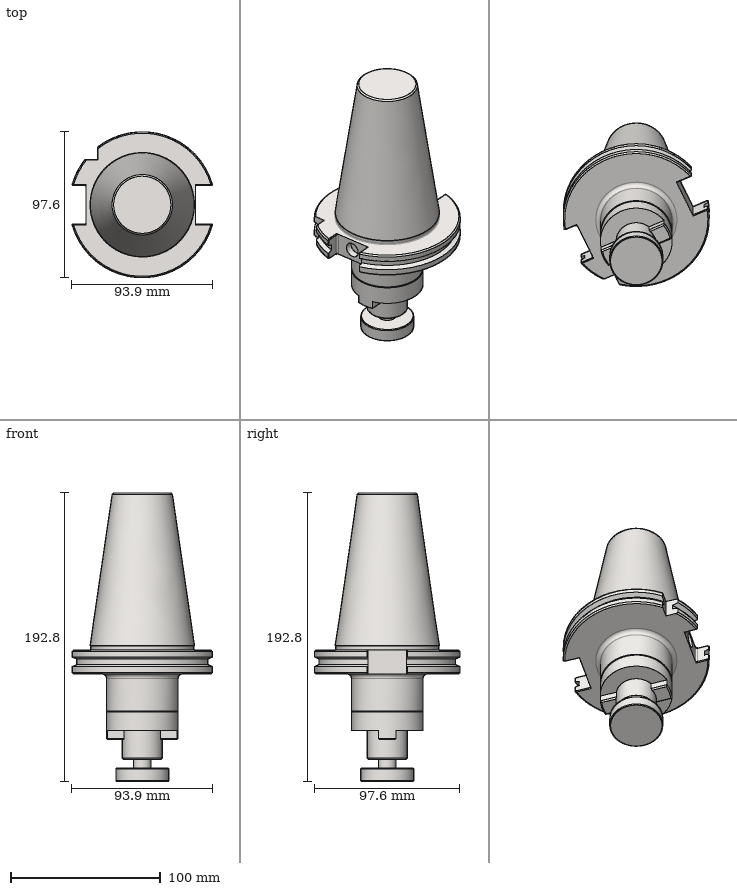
import cadquery as cq
import math


OVERALL_LENGTH = 192.8

TAPER_RATE = 7 / 24
GAUGE_RADIUS = 34.9
TAPER_LENGTH = 101.8
TAPER_TIP_RADIUS = GAUGE_RADIUS - TAPER_LENGTH * TAPER_RATE / 2
TAPER_TIP_CHAMFER = 1.0
NECK_RADIUS = 34.5
NECK_FILLET = 0.4
NECK_STEP = 0.5

FLANGE_RADIUS = 48.8
FLANGE_TOP = -3.3
FLANGE_THICKNESS = 15.8
FLANGE_BOTTOM = FLANGE_TOP - FLANGE_THICKNESS
FLANGE_CHAMFER = 1.0

GROOVE_FLOOR_RADIUS = 45.7
GROOVE_CENTRE = -11.0
GROOVE_FLOOR_WIDTH = 3.7
GROOVE_FLANK_ANGLE = 25
GROOVE_FLANK_HEIGHT = (FLANGE_RADIUS - GROOVE_FLOOR_RADIUS) * math.tan(math.radians(GROOVE_FLANK_ANGLE))

SLOT_WIDTH = 25.8
SLOT_FLOOR_LEFT = 37.5
SLOT_FLOOR_RIGHT = 35.7
SLOT_CHAMFER = 0.5
SLOT_CORNER_RADIUS = 1.2
CHIP_HOLE_DIAMETER = 10.0
CHIP_HOLE_DEPTH = 5.0
NOTCH_X = 29.9
NOTCH_Y = 30.0

SHANK_DIAMETER = 48.0
SHANK_RADIUS = SHANK_DIAMETER / 2
SHANK_FILLET = 3.0
SEAM_CHAMFER = 0.4
COLLAR_TOP = -44.1
COLLAR_BOTTOM = -56.9

TONGUE_WIDTH = 12.0
TONGUE_HEIGHT = 6.2
TONGUE_CHAMFER = 1.0

SPINDLE_RADIUS = 13.5
SPINDLE_BOTTOM = -76.3
SPINDLE_CHAMFER = 1.2

SCREW_NECK_RADIUS = 6.0
SCREW_HEAD_RADIUS = 17.7
SCREW_HEAD_TOP = -82.0
SCREW_HEAD_BOTTOM = TAPER_LENGTH - OVERALL_LENGTH
SCREW_HEAD_CHAMFER = 0.5

OVERLAP = 2.0


def cylinder(radius, top, bottom):
    return cq.Workplane("XY").workplane(offset=bottom).circle(radius).extrude(top - bottom)


def make_taper():
    """Taper with its relief neck, rounded into the top of the flange."""
    foot_radius = NECK_RADIUS + NECK_FILLET
    taper = (
        cq.Workplane("XZ")
        .moveTo(0, TAPER_LENGTH)
        .lineTo(TAPER_TIP_RADIUS, TAPER_LENGTH)
        .lineTo(GAUGE_RADIUS, 0)
        .lineTo(NECK_RADIUS, -NECK_STEP)
        .lineTo(NECK_RADIUS, FLANGE_TOP + NECK_FILLET)
        .radiusArc((foot_radius, FLANGE_TOP), -NECK_FILLET)
        .lineTo(foot_radius, FLANGE_TOP - OVERLAP)
        .lineTo(0, FLANGE_TOP - OVERLAP)
        .close()
        .revolve(360, (0, 0), (0, 1))
    )
    return taper.faces(">Z").edges().chamfer(TAPER_TIP_CHAMFER)


def cut_drive_slot(flange, side, floor_distance):
    """Cut the slot on the +X (side = 1) or -X (side = -1) and break the outline of its walls."""
    length = FLANGE_RADIUS + OVERLAP - floor_distance
    slot = (
        cq.Workplane("XY")
        .box(length, SLOT_WIDTH, FLANGE_THICKNESS + 2 * OVERLAP)
        .translate((side * (floor_distance + length / 2), 0, FLANGE_TOP - FLANGE_THICKNESS / 2))
    )
    flange = flange.cut(slot)
    wall_box = cq.selectors.BoxSelector(
        (side * (floor_distance + SLOT_CHAMFER), -SLOT_WIDTH / 2 - SLOT_CHAMFER / 2, FLANGE_BOTTOM - OVERLAP),
        (side * (FLANGE_RADIUS + OVERLAP), SLOT_WIDTH / 2 + SLOT_CHAMFER / 2, FLANGE_TOP + OVERLAP),
    )
    return flange.edges(wall_box).chamfer(SLOT_CHAMFER)


def round_left_slot_corners(flange):
    """Fill the two floor corners of the -X slot with a concave radius."""
    for wall in (1, -1):
        corner = (-SLOT_FLOOR_LEFT, wall * SLOT_WIDTH / 2)
        fillet = (
            cq.Workplane("XY")
            .workplane(offset=FLANGE_BOTTOM)
            .moveTo(*corner)
            .lineTo(corner[0] - SLOT_CORNER_RADIUS, corner[1])
            .radiusArc((corner[0], corner[1] - wall * SLOT_CORNER_RADIUS), wall * SLOT_CORNER_RADIUS)
            .close()
            .extrude(FLANGE_THICKNESS)
        )
        flange = flange.union(fillet)
    return flange


def make_groove_cutter():
    floor_half = GROOVE_FLOOR_WIDTH / 2
    mouth_half = floor_half + GROOVE_FLANK_HEIGHT
    profile = [
        (GROOVE_FLOOR_RADIUS, GROOVE_CENTRE + floor_half),
        (FLANGE_RADIUS, GROOVE_CENTRE + mouth_half),
        (FLANGE_RADIUS + OVERLAP, GROOVE_CENTRE + mouth_half),
        (FLANGE_RADIUS + OVERLAP, GROOVE_CENTRE - mouth_half),
        (FLANGE_RADIUS, GROOVE_CENTRE - mouth_half),
        (GROOVE_FLOOR_RADIUS, GROOVE_CENTRE - floor_half),
    ]
    return cq.Workplane("XZ").polyline(profile).close().revolve(360, (0, 0), (0, 1))


def make_notch_cutter():
    return (
        cq.Workplane("XY")
        .workplane(offset=FLANGE_BOTTOM - OVERLAP)
        .moveTo(-NOTCH_X, NOTCH_Y)
        .rect(-FLANGE_RADIUS, FLANGE_RADIUS, centered=False)
        .extrude(FLANGE_THICKNESS + 2 * OVERLAP)
    )


def make_chip_hole_cutter():
    return (
        cq.Workplane("YZ")
        .workplane(offset=-SLOT_FLOOR_LEFT - OVERLAP)
        .center(0, GROOVE_CENTRE)
        .circle(CHIP_HOLE_DIAMETER / 2)
        .extrude(CHIP_HOLE_DEPTH + OVERLAP)
    )


def make_flange():
    flange = cylinder(FLANGE_RADIUS, FLANGE_TOP, FLANGE_BOTTOM)
    flange = flange.faces("<Z or >Z").edges().chamfer(FLANGE_CHAMFER)
    flange = cut_drive_slot(flange, -1, SLOT_FLOOR_LEFT)
    flange = cut_drive_slot(flange, 1, SLOT_FLOOR_RIGHT)
    flange = round_left_slot_corners(flange)
    return flange.cut(make_groove_cutter()).cut(make_notch_cutter()).cut(make_chip_hole_cutter())


def make_shank():
    """Cylinder under the flange, blended into the flange and chamfered at the collar."""
    foot_radius = SHANK_RADIUS + SHANK_FILLET
    return (
        cq.Workplane("XZ")
        .moveTo(0, FLANGE_BOTTOM + OVERLAP)
        .lineTo(foot_radius, FLANGE_BOTTOM + OVERLAP)
        .lineTo(foot_radius, FLANGE_BOTTOM)
        .radiusArc((SHANK_RADIUS, FLANGE_BOTTOM - SHANK_FILLET), -SHANK_FILLET)
        .lineTo(SHANK_RADIUS, COLLAR_TOP + SEAM_CHAMFER)
        .lineTo(SHANK_RADIUS - SEAM_CHAMFER, COLLAR_TOP)
        .lineTo(0, COLLAR_TOP)
        .close()
        .revolve(360, (0, 0), (0, 1))
    )


def make_collar():
    """Drive collar with two tongues on the X axis standing out below it."""
    tongue_bottom = COLLAR_BOTTOM - TONGUE_HEIGHT
    collar = cylinder(SHANK_RADIUS, COLLAR_TOP, COLLAR_BOTTOM).faces(">Z").edges().chamfer(SEAM_CHAMFER)
    tongue_bar = (
        cq.Workplane("XY")
        .workplane(offset=tongue_bottom)
        .rect(2 * (SHANK_RADIUS + OVERLAP), TONGUE_WIDTH)
        .extrude(TONGUE_HEIGHT)
    )
    tongues = cylinder(SHANK_RADIUS, COLLAR_BOTTOM, tongue_bottom).intersect(tongue_bar)
    tongues = tongues.faces("<Z").edges().chamfer(TONGUE_CHAMFER)
    return collar.union(tongues)


def make_spindle():
    spindle = cylinder(SPINDLE_RADIUS, COLLAR_BOTTOM + OVERLAP, SPINDLE_BOTTOM)
    return spindle.faces("<Z").edges().chamfer(SPINDLE_CHAMFER)


def make_arbor():
    arbor = make_taper().union(make_flange()).union(make_shank())
    return arbor.union(make_collar()).union(make_spindle())


def make_clamping_screw():
    head = cylinder(SCREW_HEAD_RADIUS, SCREW_HEAD_TOP, SCREW_HEAD_BOTTOM)
    head = head.faces("<Z or >Z").edges().chamfer(SCREW_HEAD_CHAMFER)
    neck = cylinder(SCREW_NECK_RADIUS, SPINDLE_BOTTOM, SCREW_HEAD_TOP)
    return head.union(neck)


arbor = make_arbor()
clamping_screw = make_clamping_screw()

result = cq.Compound.makeCompound([arbor.solids().val(), clamping_screw.solids().val()])